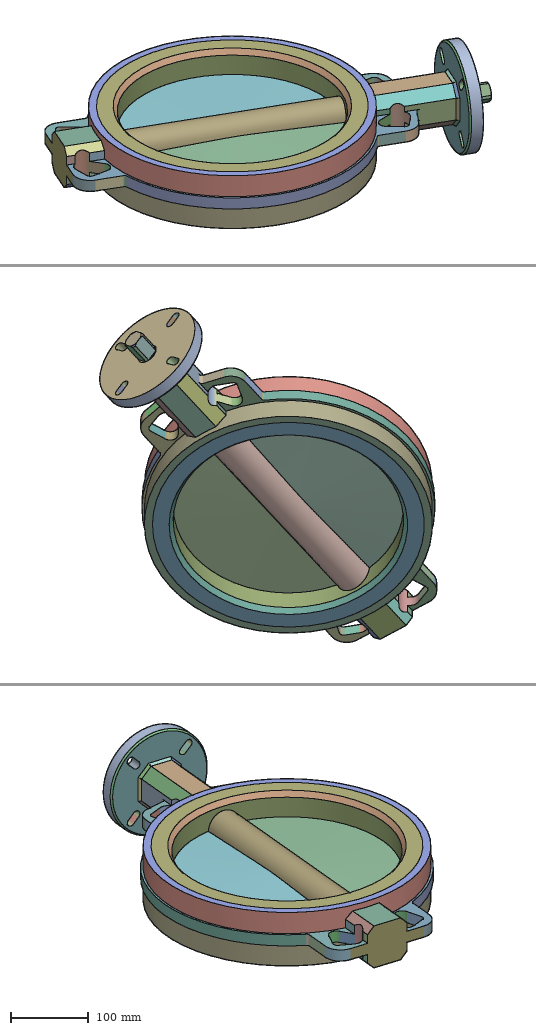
import cadquery as cq
import math

overall_length = 581.0
bottom_y = -234.0
stem_end_y = bottom_y + overall_length

ring_radius = 185.5
ring_height = 78.0
rib_diameter = 377.0
rib_radius = rib_diameter / 2
rib_height = 16.0

liner_radius = 175.0
bore_radius = 148.0
bore_mouth_radius = 153.5
bore_mouth_depth = 7.5
disc_edge_height = 6.0
disc_centre_height = 15.5
disc_hub_radius = 25.0

bar_width = 61.0
neck_chamfer = 14.5
boss_chamfer = 10.0

flange_radius = 75.0
flange_top_y = 315.5
flange_thickness = 18.5
flange_bottom_y = flange_top_y - flange_thickness
flange_edge_chamfer = 2.5
neck_flare_length = 4.0
neck_flare_angle = 35.0
slot_inner_radius = 51.0
slot_outer_radius = 63.0
slot_width = 11.0
slot_count = 4
first_slot_angle = 45.0

lug_pair_width = 160.0
lug_half_width = lug_pair_width / 2
lug_neck_y = 239.5
lug_corner_y = 228.0
lug_corner_radius = 23.0
lug_root_fillet = 3.5
lug_neck_fillet = 4.5

opening_circles = [(40.5, 213.0, 14.0), (50.5, 192.5, 10.5), (63.0, 212.5, 6.0)]

stem_radius = 14.0
stem_square = 22.5
stem_square_angle = 45.0
stem_end_chamfer = 2.0
stem_depth_in_disc = 46.5
stem_bottom_y = bore_radius - stem_depth_in_disc


def centred_cylinder(radius, height):
    """Cylinder on the bore axis, centred on the mid-plane."""
    return cq.Workplane("XY").circle(radius).extrude(height / 2, both=True)


def y_plane(y):
    """Workplane at height y along the stem, with local X = -X, local Y = Z and normal +Y."""
    return cq.Workplane(cq.Plane(origin=(0, y, 0), xDir=(-1, 0, 0), normal=(0, 1, 0)))


def bar_along_y(start_y, end_y, chamfer):
    """Square bar on the stem axis with chamfered long edges."""
    bar = y_plane(start_y).rect(bar_width, bar_width).extrude(end_y - start_y)
    return bar.edges("|Y").chamfer(chamfer)


def lug_plate():
    """Flat web that carries the upper and lower pairs of lugs, with the rib around the ring."""
    outline = [
        (-lug_half_width, bottom_y),
        (lug_half_width, bottom_y),
        (lug_half_width, lug_corner_y),
        (bar_width / 2, lug_neck_y),
        (-bar_width / 2, lug_neck_y),
        (-lug_half_width, lug_corner_y),
    ]
    web = cq.Workplane("XY").polyline(outline).close().extrude(rib_height / 2, both=True)
    web = web.edges("|Z and (<X or >X)").fillet(lug_corner_radius)
    plate = web.union(centred_cylinder(rib_radius, rib_height))
    root_y = math.sqrt(rib_radius**2 - lug_half_width**2)
    for side_x in (-lug_half_width, lug_half_width):
        for side_y in (-root_y, root_y):
            plate = plate.edges(cq.NearestToPointSelector((side_x, side_y, 0))).fillet(lug_root_fillet)
    return plate


def outer_tangent_points(first, second):
    """Points where the line that leaves both circles on its left touches them."""
    (x1, y1, r1), (x2, y2, r2) = first, second
    direction = math.atan2(y2 - y1, x2 - x1)
    normal = direction - math.acos((r1 - r2) / math.hypot(x2 - x1, y2 - y1))
    return [(x + r * math.cos(normal), y + r * math.sin(normal)) for x, y, r in (first, second)]


def lug_opening():
    """Cutter for the upper right lug opening: three arcs joined by tangent lines."""
    count = len(opening_circles)
    sides = [outer_tangent_points(opening_circles[i], opening_circles[(i + 1) % count]) for i in range(count)]
    wire = cq.Workplane("XY").moveTo(*sides[0][0])
    for i in range(count):
        corner_x, corner_y, radius = opening_circles[(i + 1) % count]
        arrive = sides[i][1]
        leave = sides[(i + 1) % count][0]
        mid_x = (arrive[0] + leave[0]) / 2 - corner_x
        mid_y = (arrive[1] + leave[1]) / 2 - corner_y
        reach = radius / math.hypot(mid_x, mid_y)
        arc_middle = (corner_x + mid_x * reach, corner_y + mid_y * reach)
        wire = wire.lineTo(*arrive).threePointArc(arc_middle, leave)
    return wire.close().extrude(bar_width / 2, both=True)


def flange():
    """Round actuator flange with radial bolt slots on the diagonals."""
    plate = y_plane(flange_bottom_y).circle(flange_radius).extrude(flange_thickness)
    plate = plate.faces("<Y").edges().chamfer(flange_edge_chamfer)
    slot_length = slot_outer_radius - slot_inner_radius + slot_width
    slots = (
        y_plane(flange_bottom_y)
        .polarArray((slot_inner_radius + slot_outer_radius) / 2, first_slot_angle, 360, slot_count)
        .slot2D(slot_length, slot_width)
        .extrude(flange_thickness)
    )
    return plate.cut(slots)


def make_housing():
    """Ring, lugs, neck, bottom boss and flange in one casting."""
    neck = bar_along_y(0, flange_bottom_y - neck_flare_length, neck_chamfer)
    flare = neck.faces(">Y").wires().toPending().workplane()
    flare = flare.extrude(neck_flare_length, taper=-neck_flare_angle)
    boss = bar_along_y(bottom_y, 0, boss_chamfer)
    body = neck.union(boss).union(lug_plate())
    for side_x in (-bar_width / 2, bar_width / 2):
        corner = cq.NearestToPointSelector((side_x, lug_neck_y, 0))
        body = body.edges("|Z").edges(corner).fillet(lug_neck_fillet)
    body = body.union(flare).union(flange())
    body = body.union(centred_cylinder(ring_radius, ring_height))
    body = body.cut(centred_cylinder(liner_radius, ring_height))
    opening = lug_opening()
    for cutter in (opening, opening.mirror("XZ")):
        body = body.cut(cutter).cut(cutter.mirror("YZ"))
    return body.cut(stem_blank())


def make_liner():
    """Seat ring with a tapered mouth at both faces."""
    half_height = ring_height / 2
    profile = [
        (liner_radius, -half_height),
        (liner_radius, half_height),
        (bore_mouth_radius, half_height),
        (bore_radius, half_height - bore_mouth_depth),
        (bore_radius, bore_mouth_depth - half_height),
        (bore_mouth_radius, -half_height),
    ]
    ring = cq.Workplane("XZ").polyline(profile).close().revolve(360, (0, 0), (0, 1))
    return ring.cut(stem_blank())


def make_disc():
    """Shallow double cone with a round hub along the stem axis, fitted to the bore."""
    profile = [
        (0, -disc_centre_height / 2),
        (bore_radius, -disc_edge_height / 2),
        (bore_radius, disc_edge_height / 2),
        (0, disc_centre_height / 2),
    ]
    plate = cq.Workplane("XZ").polyline(profile).close().revolve(360, (0, 0), (0, 1))
    hub = y_plane(-bore_radius).circle(disc_hub_radius).extrude(2 * bore_radius)
    hub = hub.intersect(centred_cylinder(bore_radius, ring_height))
    return plate.union(hub).cut(stem_blank())


def stem_blank():
    """Round shaft from the disc to the drive end."""
    return y_plane(stem_bottom_y).circle(stem_radius).extrude(stem_end_y - stem_bottom_y)


def make_stem():
    """Round shaft with a square drive end, its corners on the X and Z axes."""
    shaft = stem_blank().faces(">Y").chamfer(stem_end_chamfer)
    drive_length = stem_end_y - flange_top_y
    envelope = y_plane(flange_top_y).circle(2 * stem_radius).extrude(drive_length)
    square = y_plane(flange_top_y).transformed(rotate=(0, 0, stem_square_angle))
    square = square.rect(stem_square, stem_square)
    return shaft.cut(envelope.cut(square.extrude(drive_length)))


housing = make_housing()
liner = make_liner()
disc = make_disc()
stem = make_stem()

result = cq.Compound.makeCompound([housing.val(), liner.val(), disc.val(), stem.val()])